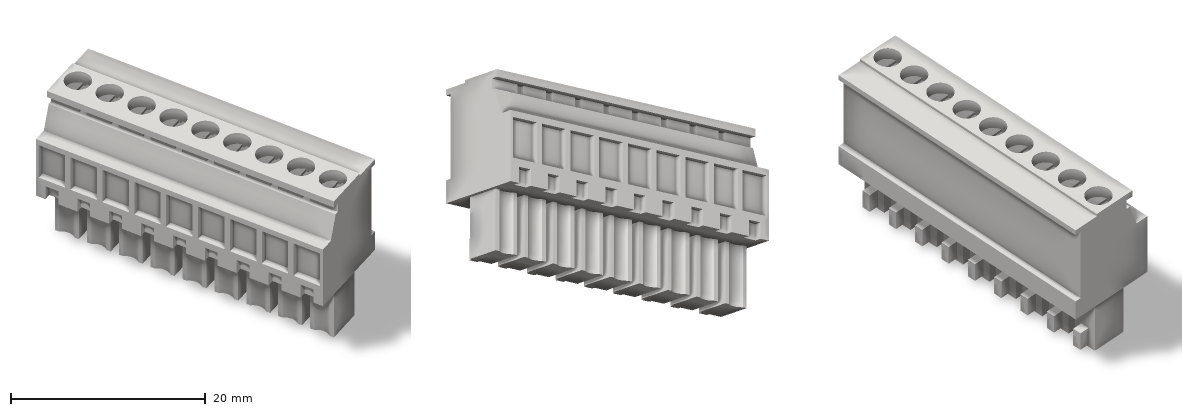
import cadquery as cq


length = 34.3
depth = 10.45
height = 19.1
pole_count = 9
pitch = length / pole_count
pole_positions = [(i - (pole_count - 1) / 2) * pitch for i in range(pole_count)]
boundary_positions = [x + pitch / 2 for x in pole_positions[:-1]]

body_bottom = 6.62
shoulder_height = 14.23
slope_bottom_y = 1.58
slope_top_y = 2.57
slope_top_height = 17.1
groove_wall_y = 3.02
lip_front_y = 2.2
lip_bottom = height - 0.82

rear_step_y = 7.37
rear_top = height - 0.3
rear_recess_y = depth - 0.72
rear_lip_bottom = height - 0.95
rear_foot_top = 9.1

pocket_width = 3.15
pocket_bottom = 9.2
pocket_top = 13.55
pocket_depth = 0.8
slot_width = 1.55
slot_top = 8.35
slot_depth = 0.8

notch_width = 0.9
notch_depth = 0.5

post_width = 2.85
post_front_y = groove_wall_y
post_back_y = 7.15
flute_width = 1.85
flute_depth = 0.35
nub_width = 1.03
nub_back_y = 8.35
nub_bottom = 0.3
nub_top = 2.57

screw_diameter = 2.9
screw_y = 5.2
screw_recess = 1.45
screw_thickness = 1.03
drive_slot_width = 0.48
drive_slot_depth = 0.35
screw_top = height - screw_recess
screw_bottom = screw_top - screw_thickness


def block(x_center, width, y_min, y_max, z_min, z_max):
    """Box centred on x_center, bounded by the given Y and Z limits."""
    return (
        cq.Workplane("XY")
        .box(width, y_max - y_min, z_max - z_min, centered=(True, False, False))
        .translate((x_center, y_min, z_min))
    )


def housing_body():
    """Constant cross-section extruded along the whole row."""
    outline = [
        (0, body_bottom),
        (0, shoulder_height),
        (slope_bottom_y, shoulder_height),
        (slope_top_y, slope_top_height),
        (groove_wall_y, slope_top_height),
        (groove_wall_y, lip_bottom),
        (lip_front_y, lip_bottom),
        (lip_front_y, height),
        (rear_step_y, height),
        (rear_step_y, rear_top),
        (depth, rear_top),
        (depth, rear_lip_bottom),
        (rear_recess_y, rear_lip_bottom),
        (rear_recess_y, rear_foot_top),
        (depth, rear_foot_top),
        (depth, body_bottom),
    ]
    return cq.Workplane("YZ").polyline(outline).close().extrude(length / 2, both=True)


def plug_post(x):
    """Post with a shallow round flute down its front and a latch nub on its back."""
    flute_half = flute_width / 2
    post_half = post_width / 2
    post = (
        cq.Workplane("XY")
        .moveTo(-post_half, post_front_y)
        .lineTo(-flute_half, post_front_y)
        .threePointArc((0, post_front_y + flute_depth), (flute_half, post_front_y))
        .lineTo(post_half, post_front_y)
        .lineTo(post_half, post_back_y)
        .lineTo(-post_half, post_back_y)
        .close()
        .extrude(body_bottom)
        .translate((x, 0, 0))
    )
    nub = block(x, nub_width, post_back_y, nub_back_y, nub_bottom, nub_top)
    return post.union(nub)


def screw_hole(x):
    """Blind round hole that holds one clamp screw."""
    return (
        cq.Workplane("XY", origin=(x, screw_y, screw_bottom))
        .circle(screw_diameter / 2)
        .extrude(height - screw_bottom)
    )


def make_housing():
    housing = housing_body()
    for x in pole_positions:
        housing = housing.union(plug_post(x))
    for x in pole_positions:
        housing = housing.cut(block(x, pocket_width, 0, pocket_depth, pocket_bottom, pocket_top))
        housing = housing.cut(block(x, slot_width, 0, slot_depth, body_bottom, slot_top))
        housing = housing.cut(screw_hole(x))
    for x in boundary_positions:
        notch_back_y = groove_wall_y + notch_depth
        housing = housing.cut(
            block(x, notch_width, groove_wall_y, notch_back_y, slope_top_height, lip_bottom)
        )
    return housing


def make_screw(x):
    """Screw head with a straight drive slot running front to back across it."""
    head = (
        cq.Workplane("XY", origin=(x, screw_y, screw_bottom))
        .circle(screw_diameter / 2)
        .extrude(screw_thickness)
    )
    radius = screw_diameter / 2
    drive_slot = block(
        x, drive_slot_width, screw_y - radius, screw_y + radius, screw_top - drive_slot_depth, screw_top
    )
    return head.cut(drive_slot)


housing = make_housing()
screws = [make_screw(x) for x in pole_positions]

result = cq.Compound.makeCompound([housing.val(), *[screw.val() for screw in screws]])